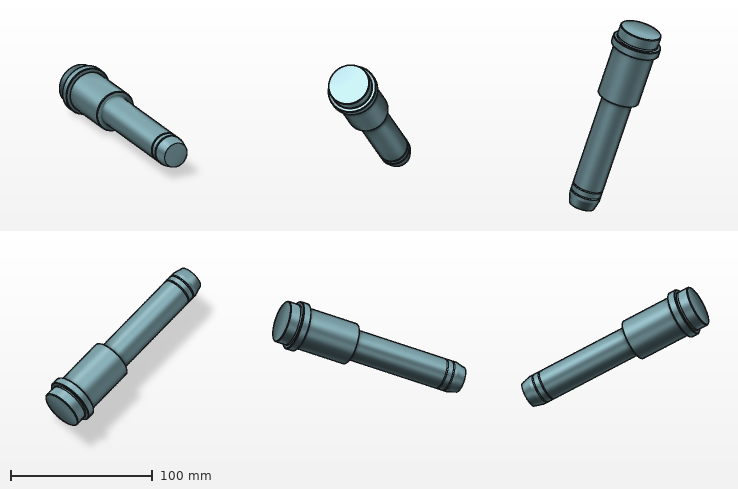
import cadquery as cq
import math

total_length = 140.0
body_diameter = 30.0
flange_diameter = 35.0
shaft_diameter = 22.0

flange_start = 9.0
flange_width = 6.0
body_end = 54.0
edge_chamfer = 0.5
root_fillet = 0.5

undercut_depth = 0.4
head_undercut_width = 1.3
body_undercut_width = 0.8

taper_length = 7.0
taper_angle = 15.0
groove_width = 1.0
groove_depth = 0.4
groove_starts = (124.5, 129.5)

body_radius = body_diameter / 2
shaft_radius = shaft_diameter / 2
flange_end = flange_start + flange_width


def revolve_about_x(profile):
    """Turn a closed profile in the XY plane into a solid about the X axis."""
    return profile.revolve(360, (0, 0, 0), (1, 0, 0))


def make_flange():
    """Flange disc with both rims chamfered."""
    disc = cq.Workplane("YZ", origin=(flange_start, 0, 0)).circle(flange_diameter / 2).extrude(flange_width)
    return disc.edges().chamfer(edge_chamfer)


def add_round_groove(profile, start, width, radius, depth):
    """Continue a profile along a given radius and through one shallow concave arc."""
    return profile.lineTo(start, radius).threePointArc(
        (start + width / 2, radius - depth),
        (start + width, radius),
    )


def make_head_and_body():
    """Body cylinder with chamfered ends and a round undercut on each side of the flange."""
    profile = cq.Workplane("XY").lineTo(0, body_radius - edge_chamfer).lineTo(edge_chamfer, body_radius)
    undercuts = (
        (flange_start - head_undercut_width, head_undercut_width),
        (flange_end, body_undercut_width),
    )
    for start, width in undercuts:
        profile = add_round_groove(profile, start, width, body_radius, undercut_depth)
    profile = (
        profile.lineTo(body_end - edge_chamfer, body_radius)
        .lineTo(body_end, body_radius - edge_chamfer)
        .lineTo(body_end, 0)
        .close()
    )
    return revolve_about_x(profile)


def make_shaft():
    """Shaft with a concave root fillet, two shallow round grooves and a tapered tip."""
    tip_radius = shaft_radius - taper_length * math.tan(math.radians(taper_angle))
    profile = (
        cq.Workplane("XY")
        .moveTo(body_end, 0)
        .lineTo(body_end, shaft_radius + root_fillet)
        .radiusArc((body_end + root_fillet, shaft_radius), -root_fillet)
    )
    for start in groove_starts:
        profile = add_round_groove(profile, start, groove_width, shaft_radius, groove_depth)
    profile = (
        profile.lineTo(total_length - taper_length, shaft_radius)
        .lineTo(total_length, tip_radius)
        .lineTo(total_length, 0)
        .close()
    )
    return revolve_about_x(profile)


result = make_head_and_body().union(make_flange()).union(make_shaft())